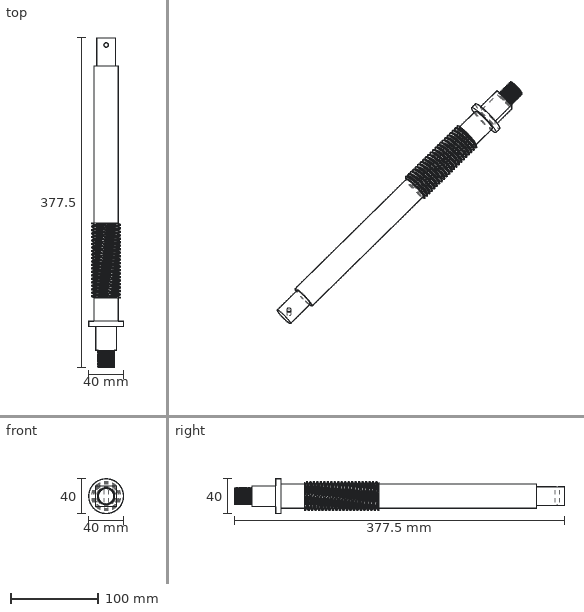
import cadquery as cq

total_length = 377.5
stud_length = 19.5
square_length = 27.0
flange_length = 6.5
plain_length = 26.5
thread_length = 85.7
tip_length = 32.0

stud_diameter = 19.5
square_side = 23.8
flange_diameter = 40.0
shaft_diameter = 28.0
thread_diameter = 33.2
tip_diameter = 22.0

hole_diameter = 5.0
hole_from_end = 8.3

thread_turns = 21.5
thread_pitch = thread_length / thread_turns
stud_pitch = thread_pitch / 2
stud_thread_depth = 1.0
crest_share = 0.25
base_share = 0.95
root_overlap = 0.5

square_start = stud_length
flange_start = square_start + square_length
shaft_start = flange_start + flange_length
thread_start = shaft_start + plain_length
tip_start = total_length - tip_length


def rod(diameter, start, length):
    """Cylinder on the Y axis running from start toward +Y."""
    plane = cq.Workplane("XZ", origin=(0, start, 0))
    return plane.circle(diameter / 2).extrude(-length)


def thread(root_diameter, crest_diameter, pitch, start, length):
    """Right-hand helical ridge along Y, trimmed flat at both ends."""
    root_radius = root_diameter / 2
    crest_radius = crest_diameter / 2
    inner_radius = root_radius - root_overlap
    half_base = base_share * pitch / 2
    half_crest = crest_share * pitch / 2
    helix = cq.Wire.makeHelix(pitch, length + 2 * pitch, root_radius)
    profile = (
        cq.Workplane("XZ")
        .moveTo(inner_radius, -half_base)
        .lineTo(crest_radius, -half_crest)
        .lineTo(crest_radius, half_crest)
        .lineTo(inner_radius, half_base)
        .close()
    )
    ridge = profile.sweep(cq.Workplane(obj=helix), isFrenet=True)
    ridge = ridge.rotate((0, 0, 0), (1, 0, 0), -90).translate((0, start - pitch, 0))
    return ridge.intersect(rod(2 * crest_diameter, start, length))


stud_root_diameter = stud_diameter - 2 * stud_thread_depth
stud = rod(stud_root_diameter, 0, stud_length)
square_plane = cq.Workplane("XZ", origin=(0, square_start, 0))
square = square_plane.rect(square_side, square_side).extrude(-square_length)
flange = rod(flange_diameter, flange_start, flange_length)
shaft = rod(shaft_diameter, shaft_start, tip_start - shaft_start)
tip = rod(tip_diameter, tip_start, tip_length)
body = stud.union(square).union(flange).union(shaft).union(tip)

hole_center = (0, total_length - hole_from_end, 0)
hole = cq.Workplane("XY", origin=hole_center).circle(hole_diameter / 2).extrude(tip_diameter, both=True)
body = body.cut(hole)

shaft_thread = thread(shaft_diameter, thread_diameter, thread_pitch, thread_start, thread_length)
stud_thread = thread(stud_root_diameter, stud_diameter, stud_pitch, 0, stud_length)
result = body.union(shaft_thread).union(stud_thread)